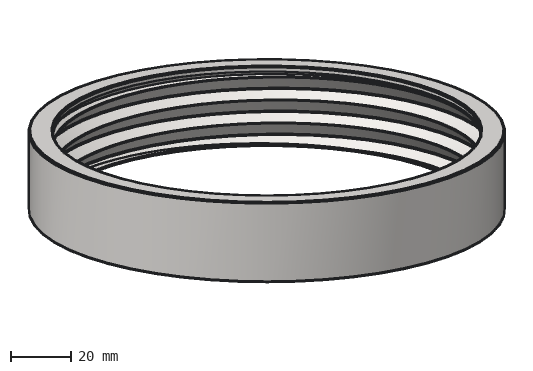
import cadquery as cq

outer_radius = 79.0
height = 28.0
bore_radius = 141.9 / 2
edge_chamfer = 0.5

root_radius = 150.7 / 2
pitch = 8.0
crest_width = 0.3
crest_step = 0.08
root_width = 0.5
upper_flank_height = 4.9
lower_flank_height = pitch - crest_width - root_width - upper_flank_height
first_crest_height = 3.3
bore_overlap = 0.3

top_lip = 1.9
bottom_lip = 0.8


def ring_blank():
    ring = cq.Workplane("XY").circle(outer_radius).circle(bore_radius).extrude(height)
    return ring.faces("<Z or >Z").edges().chamfer(edge_chamfer)


def thread_cutter():
    turns_below = 2
    start = first_crest_height - turns_below * pitch
    length = height - start + pitch
    path = cq.Wire.makeHelix(pitch, length, bore_radius, lefthand=True)
    inner = bore_radius - bore_overlap
    flank_start = bore_radius + crest_step
    lower_edge = crest_width / 2
    upper_edge = pitch - crest_width / 2
    profile = (
        cq.Workplane("XZ")
        .moveTo(inner, lower_edge)
        .lineTo(flank_start, lower_edge)
        .lineTo(root_radius, lower_edge + lower_flank_height)
        .lineTo(root_radius, upper_edge - upper_flank_height)
        .lineTo(flank_start, upper_edge)
        .lineTo(inner, upper_edge)
        .close()
    )
    return profile.sweep(cq.Workplane(obj=path), isFrenet=True).translate((0, 0, start))


def thread_zone():
    """Space between the lips, tapering in below the top lip like an upper flank."""
    top = height - top_lip
    return (
        cq.Workplane("XZ")
        .moveTo(0, bottom_lip)
        .lineTo(outer_radius, bottom_lip)
        .lineTo(outer_radius, top - upper_flank_height)
        .lineTo(root_radius, top - upper_flank_height)
        .lineTo(bore_radius, top)
        .lineTo(0, top)
        .close()
        .revolve(360, (0, 0, 0), (0, 1, 0))
    )


thread = thread_cutter().intersect(thread_zone())
result = ring_blank().cut(thread)